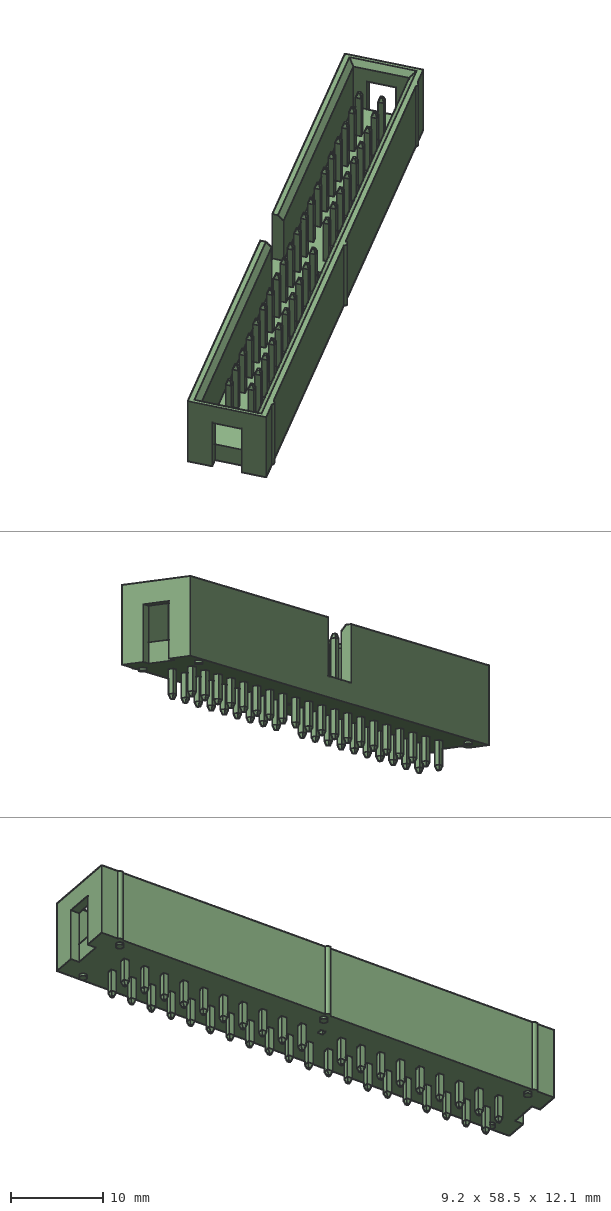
import cadquery as cq


body_length = 58.45
body_width = 8.9
body_height = 8.8
floor_height = 2.35
side_wall = 1.3
end_wall = 1.05
rim_chamfer = 0.65

key_slot_width = 4.45
end_notch_width = 3.35
end_notch_top = 6.4

column_count = 2
row_count = 20
pin_row_length = 48.3
pitch = pin_row_length / (row_count - 1)
pin_size = 0.65
pin_tip_size = 0.3
pin_taper = 0.5
pin_top = 8.35
pin_bottom = -3.3
empty_column = 1
empty_row = row_count // 2

foot_diameter = 0.9
foot_height = 0.3
foot_edge_distance = 0.8
foot_end_distance = 2.85
middle_rib_projection = 0.3
end_rib_projection = 0.2
rib_width = 0.7
rib_end_distance = 2.45

cavity_width = body_width - 2 * side_wall
cavity_length = body_length - 2 * end_wall


def upright_box(width, length, bottom, top):
    """Box centred on the Z axis, spanning the given heights."""
    return cq.Workplane("XY").workplane(offset=bottom).rect(width, length).extrude(top - bottom)


def pin_position(column, row):
    """Centre of a pin in a grid centred on the body."""
    x = (column - (column_count - 1) / 2) * pitch
    y = (row - (row_count - 1) / 2) * pitch
    return x, y


def make_shroud():
    """Open-topped tray whose rim is chamfered on the inside."""
    shroud = upright_box(body_width, body_length, 0, body_height)
    shroud = shroud.cut(upright_box(cavity_width, cavity_length, floor_height, body_height))
    rim_bevel = (
        cq.Workplane("XY")
        .workplane(offset=body_height - rim_chamfer)
        .rect(cavity_width, cavity_length)
        .workplane(offset=rim_chamfer)
        .rect(cavity_width + 2 * rim_chamfer, cavity_length + 2 * rim_chamfer)
        .loft(ruled=True)
    )
    return shroud.cut(rim_bevel)


def make_key_slot():
    """Slot through the -X wall, from the floor up to the rim."""
    slot = upright_box(side_wall, key_slot_width, floor_height, body_height)
    return slot.translate((-(body_width - side_wall) / 2, 0, 0))


def make_end_notch(side):
    """Notch through an end wall, open at the underside."""
    notch = upright_box(end_notch_width, end_wall, 0, end_notch_top)
    return notch.translate((0, side * (body_length - end_wall) / 2, 0))


def make_pin():
    """Square pin with a tapered tip at each end."""
    shaft_bottom = pin_bottom + pin_taper
    shaft_top = pin_top - pin_taper
    pin = upright_box(pin_size, pin_size, shaft_bottom, shaft_top)
    for shaft_end, taper in ((shaft_top, pin_taper), (shaft_bottom, -pin_taper)):
        tip = (
            cq.Workplane("XY")
            .workplane(offset=shaft_end)
            .rect(pin_size, pin_size)
            .workplane(offset=taper)
            .rect(pin_tip_size, pin_tip_size)
            .loft(ruled=True)
        )
        pin = pin.union(tip)
    return pin


def make_feet():
    """Round standoffs near the four corners and at the middle of the +X edge."""
    foot_x = body_width / 2 - foot_edge_distance
    foot_y = body_length / 2 - foot_end_distance
    centres = [(x, y) for x in (-foot_x, foot_x) for y in (-foot_y, foot_y)]
    centres.append((foot_x, 0))
    return cq.Workplane("XY").pushPoints(centres).circle(foot_diameter / 2).extrude(-foot_height)


def make_rib(y, projection):
    """Full-height rounded rib on the +X side."""
    face_x = body_width / 2
    outline = (
        cq.Workplane("XY")
        .moveTo(face_x, y - rib_width / 2)
        .threePointArc((face_x + projection, y), (face_x, y + rib_width / 2))
        .close()
    )
    return outline.extrude(body_height)


result = make_shroud().cut(make_key_slot())
for side in (-1, 1):
    result = result.cut(make_end_notch(side))

result = result.union(make_feet())
end_rib_y = body_length / 2 - rib_end_distance
result = result.union(make_rib(0, middle_rib_projection))
for side in (-1, 1):
    result = result.union(make_rib(side * end_rib_y, end_rib_projection))

positions = [pin_position(column, row) for column in range(column_count) for row in range(row_count)]
empty_position = pin_position(empty_column, empty_row)
positions.remove(empty_position)

pin = make_pin().val()
pins = cq.Workplane("XY").pushPoints(positions).eachpoint(lambda location: pin.moved(location))
result = result.union(pins)

empty_hole = upright_box(pin_size, pin_size, 0, floor_height)
result = result.cut(empty_hole.translate(empty_position + (0,)))